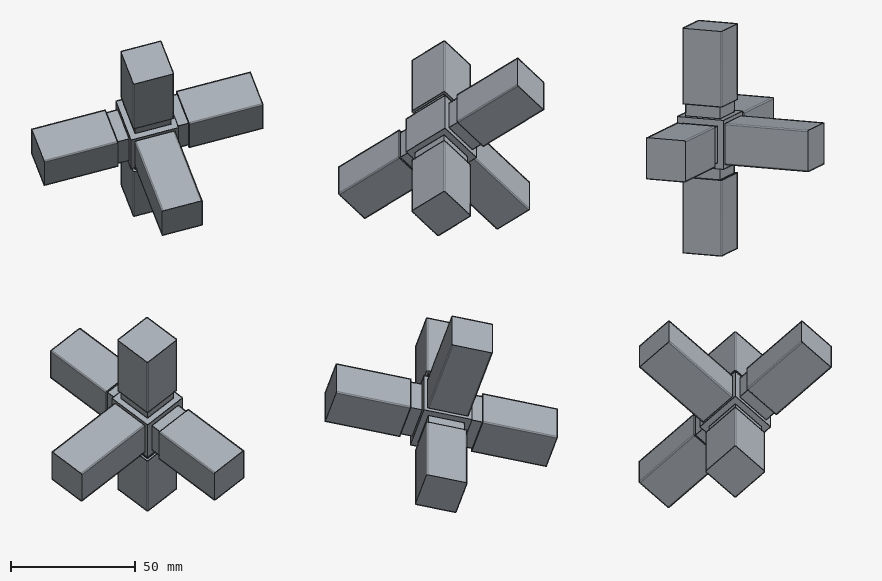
import cadquery as cq

span = 92.0
hub_size = 20.1
neck_length = 5.0
neck_width = 15.0
plug_width = 16.9
plug_edge_radius = 0.5

hub_half = hub_size / 2
arm_tip = span / 2


def square_bar(width, start, end):
    """Square bar along +Z between two heights."""
    return cq.Workplane("XY").workplane(offset=start).rect(width, width).extrude(end - start)


def plug(start):
    """Plug with rounded long edges, running from start to the arm tip."""
    return square_bar(plug_width, start, arm_tip).edges("|Z").fillet(plug_edge_radius)


necked_arm = square_bar(neck_width, 0, hub_half + neck_length).union(plug(hub_half + neck_length))

plain_arm = plug(0).rotate((0, 0, 0), (0, 1, 0), 90)

result = cq.Workplane("XY").box(hub_size, hub_size, hub_size).union(plain_arm)

for angle in (0, 90, 180, 270):
    result = result.union(necked_arm.rotate((0, 0, 0), (1, 0, 0), angle))